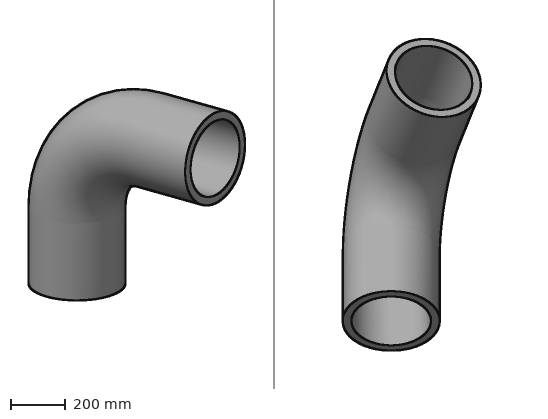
import cadquery as cq

overall_size = 817.5
outer_diameter = 355.0
bore_diameter = 290.0
leg_length = 300.0

bend_radius = overall_size - leg_length - outer_diameter / 2


def elbow(diameter):
    """Solid round elbow: upright leg, quarter bend, then a leg along +X."""
    upright_leg = cq.Workplane("XY").circle(diameter / 2).extrude(leg_length)
    bend = (
        cq.Workplane("XY", origin=(0, 0, leg_length))
        .circle(diameter / 2)
        .revolve(90, (bend_radius, 0, 0), (bend_radius, 1, 0))
    )
    level_leg = (
        cq.Workplane("YZ", origin=(bend_radius, 0, leg_length + bend_radius))
        .circle(diameter / 2)
        .extrude(leg_length)
    )
    return upright_leg.union(bend).union(level_leg)


result = elbow(outer_diameter).cut(elbow(bore_diameter))